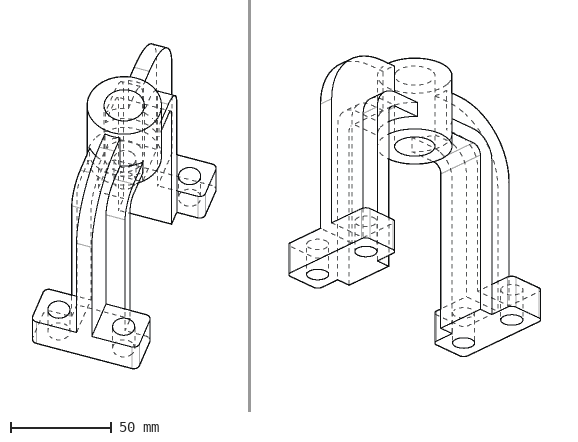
import cadquery as cq

height = 125.0
hub_diameter = 37.0
hub_length = 40.0
bore_diameter = 20.0

depth = 124.0
web_thickness = 8.0
web_depth = 22.0
hub_rise_above_web = 3.0
web_top = height - hub_rise_above_web
flange_width = 28.0
flange_thickness = 8.0
flange_bend_radius = 13.0

foot_width = 56.0
foot_height = 17.0
foot_corner_radius = 3.0
foot_hole_diameter = 11.0
foot_hole_spacing = 34.0

outer_y = depth / 2
flange_outer_y = outer_y - web_depth
flange_top = web_top - web_depth
foot_center_y = outer_y - web_depth / 2


def bent_strip(outside_y, top, bend_radius, thickness, width):
    """Strip rising from the ground, then bending inward to the hub axis."""
    inner_radius = bend_radius - thickness
    bend_y = outside_y - bend_radius
    bend_z = top - bend_radius
    return (
        cq.Workplane("YZ")
        .moveTo(outside_y, 0)
        .lineTo(outside_y, bend_z)
        .radiusArc((bend_y, top), -bend_radius)
        .lineTo(0, top)
        .lineTo(0, top - thickness)
        .lineTo(bend_y, top - thickness)
        .radiusArc((outside_y - thickness, bend_z), inner_radius)
        .lineTo(outside_y - thickness, 0)
        .close()
        .extrude(width / 2, both=True)
    )


def foot():
    """Rounded block with two vertical bolt holes."""
    return (
        cq.Workplane("XY")
        .center(0, foot_center_y)
        .rect(foot_width, web_depth)
        .extrude(foot_height)
        .edges("|Z")
        .fillet(foot_corner_radius)
        .faces(">Z")
        .workplane(origin=(0, foot_center_y, foot_height))
        .pushPoints([(-foot_hole_spacing / 2, 0), (foot_hole_spacing / 2, 0)])
        .hole(foot_hole_diameter)
    )


def leg():
    """Web, flange and foot on the +Y side."""
    web_bend_radius = flange_bend_radius + web_depth
    web = bent_strip(outer_y, web_top, web_bend_radius, web_depth, web_thickness)
    flange = bent_strip(flange_outer_y, flange_top, flange_bend_radius, flange_thickness, flange_width)
    return web.union(flange).union(foot())


back_leg = leg()
front_leg = back_leg.mirror("XZ")

hub = (
    cq.Workplane("XY")
    .workplane(offset=height - hub_length)
    .circle(hub_diameter / 2)
    .extrude(hub_length)
)
bore = cq.Workplane("XY").circle(bore_diameter / 2).extrude(height)

result = hub.union(back_leg).union(front_leg).cut(bore)